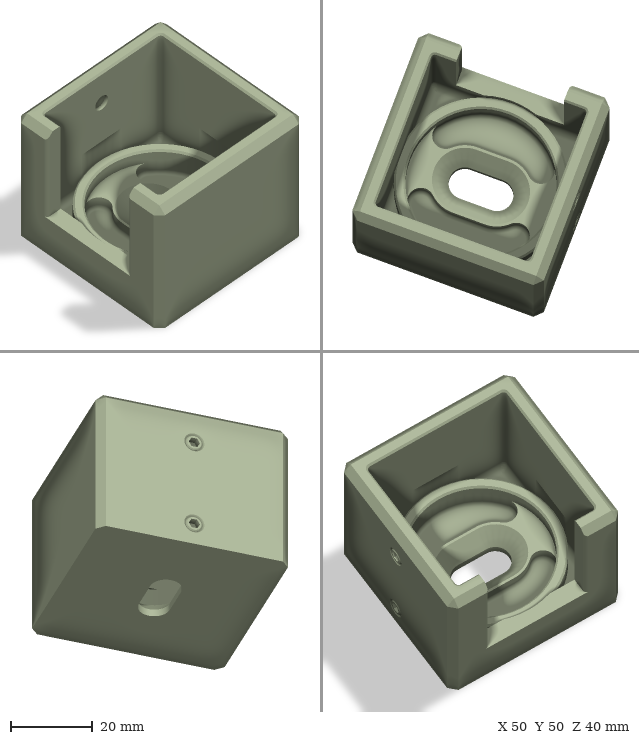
import cadquery as cq
import math

WIDTH = 50.0
HEIGHT = 40.0
EDGE_CHAMFER = 2.0

CAVITY_WIDTH = 40.5
CAVITY_FLOOR_Z = 5.0
CAVITY_CORNER_RADIUS = 1.0
CAVITY_FLOOR_FILLET = 2.0
CAVITY_RIM_CHAMFER = 0.5

NOTCH_WIDTH = 28.1
NOTCH_FLOOR_Z = 12.0
NOTCH_EDGE_RADIUS = 1.0

BORE_RADIUS = 21.35
BORE_TOP_Z = 17.0

DISC_RADIUS = BORE_RADIUS
DISC_HEIGHT = 10.0
DISC_RECESS_RADIUS = 18.5
DISC_WEB_Z = 6.0
RIM_CHAMFER = 0.5

SLOT_RADIUS = 4.0
SLOT_CENTER_X = 4.2
SLOT_SINK_RADIUS = 8.05
SLOT_SINK_ANGLE = 45.0

KIDNEY_INNER_RADIUS = 8.7
KIDNEY_END_RADIUS = 3.3
KIDNEY_FLOOR_Z = 2.5
KIDNEY_FLOOR_FILLET = 1.0

SCREW_RADIUS = 2.2
SCREW_LENGTH = WIDTH / 2 - DISC_RADIUS
SCREW_CHAMFER = 0.35
SCREW_HOLE_SINK = 0.4
SCREW_HOLE_DEPTH = (WIDTH - CAVITY_WIDTH) / 2
DISC_SCREW_Z = 6.0
POST_SCREW_Z = 30.0
SOCKET_ACROSS_FLATS = 2.5
SOCKET_DEPTH = 2.0
PIT_HALF_ANGLE = 60.0


def along_x(x, z):
    """Workplane at (x, 0, z) facing into the left wall, toward +X."""
    return cq.Workplane(cq.Plane(origin=(x, 0, z), xDir=(0, 1, 0), normal=(1, 0, 0)))


def block():
    body = cq.Workplane().box(WIDTH, WIDTH, HEIGHT, centered=(True, True, False))
    return body.edges("|Z or >Z").chamfer(EDGE_CHAMFER)


def cavity():
    depth = HEIGHT - CAVITY_FLOOR_Z
    return (
        cq.Workplane()
        .workplane(offset=CAVITY_FLOOR_Z)
        .rect(CAVITY_WIDTH, CAVITY_WIDTH)
        .extrude(depth)
        .edges("|Z")
        .fillet(CAVITY_CORNER_RADIUS)
        .faces("<Z")
        .edges()
        .fillet(CAVITY_FLOOR_FILLET)
    )


def chamfer_cavity_rim(body):
    reach = CAVITY_WIDTH / 2 + CAVITY_RIM_CHAMFER
    rim = cq.selectors.BoxSelector(
        (-reach, -reach, HEIGHT - CAVITY_RIM_CHAMFER),
        (reach, reach, HEIGHT + CAVITY_RIM_CHAMFER),
    )
    return body.edges(rim).chamfer(CAVITY_RIM_CHAMFER)


def notch():
    """Notch through the front wall, flaring out in a round edge at the front face."""
    side = NOTCH_WIDTH / 2
    front = -WIDTH / 2
    r = NOTCH_EDGE_RADIUS
    bend = r * (1 - math.sqrt(0.5))
    return (
        cq.Workplane()
        .workplane(offset=NOTCH_FLOOR_Z)
        .moveTo(-side, 0)
        .lineTo(-side, front + r)
        .threePointArc((-side - bend, front + bend), (-side - r, front))
        .lineTo(side + r, front)
        .threePointArc((side + bend, front + bend), (side, front + r))
        .lineTo(side, 0)
        .close()
        .extrude(HEIGHT - NOTCH_FLOOR_Z)
    )


def bore():
    return cq.Workplane().circle(BORE_RADIUS).extrude(BORE_TOP_Z)


def screw_hole(z):
    """Hole through the left wall, ending in the cavity, with a countersunk mouth."""
    face_x = -WIDTH / 2
    hole = along_x(face_x, z).circle(SCREW_RADIUS).extrude(SCREW_HOLE_DEPTH)
    mouth_radius = SCREW_RADIUS + SCREW_HOLE_SINK
    mouth = cq.Solid.makeCone(
        mouth_radius,
        SCREW_RADIUS,
        SCREW_HOLE_SINK,
        cq.Vector(face_x, 0, z),
        cq.Vector(1, 0, 0),
    )
    return hole.union(cq.Workplane(mouth))


def make_housing():
    body = chamfer_cavity_rim(block().cut(cavity()))
    body = body.cut(notch()).cut(bore())
    for z in (DISC_SCREW_Z, POST_SCREW_Z):
        body = body.cut(screw_hole(z))
    return body


def kidney():
    """Kidney pocket behind the slot: rim arc outside, slot-shaped arc inside, round ends."""
    end_r = KIDNEY_END_RADIUS
    outer_reach = DISC_RECESS_RADIUS - end_r
    inner_reach = KIDNEY_INNER_RADIUS + end_r
    end_x = (outer_reach**2 - inner_reach**2 + SLOT_CENTER_X**2) / (2 * SLOT_CENTER_X)
    end_y = math.sqrt(outer_reach**2 - end_x**2)
    outer_angle = math.atan2(end_y, end_x)
    inner_angle = math.atan2(end_y, end_x - SLOT_CENTER_X)

    def on_inner_arc(angle):
        return (
            SLOT_CENTER_X + KIDNEY_INNER_RADIUS * math.cos(angle),
            KIDNEY_INNER_RADIUS * math.sin(angle),
        )

    outer_x = DISC_RECESS_RADIUS * math.cos(outer_angle)
    outer_y = DISC_RECESS_RADIUS * math.sin(outer_angle)
    inner_x, inner_y = on_inner_arc(inner_angle)
    middle_x, middle_y = on_inner_arc((inner_angle + math.pi / 2) / 2)
    tip_angle = (outer_angle + inner_angle - math.pi) / 2
    tip_x = end_x + end_r * math.cos(tip_angle)
    tip_y = end_y + end_r * math.sin(tip_angle)
    return (
        cq.Workplane()
        .workplane(offset=KIDNEY_FLOOR_Z)
        .moveTo(-outer_x, outer_y)
        .threePointArc((0, DISC_RECESS_RADIUS), (outer_x, outer_y))
        .threePointArc((tip_x, tip_y), (inner_x, inner_y))
        .threePointArc((middle_x, middle_y), (SLOT_CENTER_X, KIDNEY_INNER_RADIUS))
        .lineTo(-SLOT_CENTER_X, KIDNEY_INNER_RADIUS)
        .threePointArc((-middle_x, middle_y), (-inner_x, inner_y))
        .threePointArc((-tip_x, tip_y), (-outer_x, outer_y))
        .close()
        .extrude(DISC_WEB_Z - KIDNEY_FLOOR_Z)
        .faces("<Z")
        .edges()
        .fillet(KIDNEY_FLOOR_FILLET)
    )


def countersunk_slot():
    spacing = 2 * SLOT_CENTER_X
    sink_depth = (SLOT_SINK_RADIUS - SLOT_RADIUS) / math.tan(math.radians(SLOT_SINK_ANGLE))
    slot = cq.Workplane().slot2D(spacing + 2 * SLOT_RADIUS, 2 * SLOT_RADIUS).extrude(DISC_WEB_Z)
    sink = (
        cq.Workplane()
        .workplane(offset=DISC_WEB_Z)
        .slot2D(spacing + 2 * SLOT_SINK_RADIUS, 2 * SLOT_SINK_RADIUS)
        .extrude(-sink_depth, taper=SLOT_SINK_ANGLE)
    )
    return slot.union(sink)


def make_foot_disc():
    disc = cq.Workplane().circle(DISC_RADIUS).extrude(DISC_HEIGHT)
    recess = cq.Workplane().workplane(offset=DISC_WEB_Z).circle(DISC_RECESS_RADIUS).extrude(DISC_HEIGHT)
    disc = disc.cut(recess).faces(">Z").edges().chamfer(RIM_CHAMFER)
    disc = disc.cut(kidney()).cut(kidney().mirror("XZ"))
    return disc.cut(countersunk_slot())


def set_screw(z):
    """Set screw flush with the left face, with a chamfered end and a flat hexagon socket."""
    body = along_x(-WIDTH / 2, z).circle(SCREW_RADIUS).extrude(SCREW_LENGTH)
    body = body.faces("<X").chamfer(SCREW_CHAMFER)
    corner_diameter = SOCKET_ACROSS_FLATS / math.cos(math.pi / 6)
    socket = along_x(-WIDTH / 2, z).polygon(6, corner_diameter).extrude(SOCKET_DEPTH)
    return body.cut(socket)


def make_disc_screw():
    return set_screw(DISC_SCREW_Z)


def make_post_screw():
    """Upper set screw, whose socket ends in a conical pit."""
    pit_radius = SOCKET_ACROSS_FLATS / 2
    pit_depth = pit_radius / math.tan(math.radians(PIT_HALF_ANGLE))
    pit_start = cq.Vector(-WIDTH / 2 + SOCKET_DEPTH, 0, POST_SCREW_Z)
    pit = cq.Solid.makeCone(pit_radius, 0, pit_depth, pit_start, cq.Vector(1, 0, 0))
    return set_screw(POST_SCREW_Z).cut(cq.Workplane(pit))


housing = make_housing()
foot_disc = make_foot_disc()
disc_screw = make_disc_screw()
post_screw = make_post_screw()

result = cq.Compound.makeCompound(
    [housing.val(), foot_disc.val(), disc_screw.val(), post_screw.val()]
)